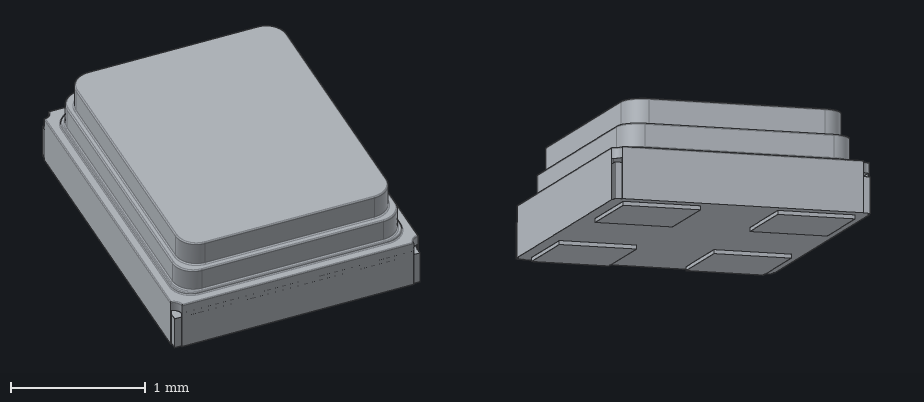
import cadquery as cq

LENGTH = 2.5
WIDTH = 2.0
HEIGHT = 0.83

PAD_HEIGHT = 0.03
PAD_LENGTH = 0.7
PAD_WIDTH = 0.6
PAD_MARGIN = 0.1

BASE_HEIGHT = 0.395
SKIN = 0.01
ROOF = 0.082
GAP = 0.038
NOTCH_RADIUS = 0.065

RING_LENGTH = 2.355
RING_WIDTH = 1.855
RING_HEIGHT = 0.018
LOWER_LENGTH = 2.31
LOWER_WIDTH = 1.8
UPPER_LENGTH = 2.2
UPPER_WIDTH = 1.7
UPPER_HEIGHT = 0.2
TIER_CORNER = 0.168

BASE_ROUND = 0.008
LID_ROUND = 0.01

base_top = PAD_HEIGHT + BASE_HEIGHT
ring_top = base_top + RING_HEIGHT
lower_top = HEIGHT - UPPER_HEIGHT
gap_top = base_top - ROOF
gap_bottom = gap_top - GAP


def block(length, width, bottom, top):
    """Box centred on the Z axis between two heights."""
    return (
        cq.Workplane("XY")
        .workplane(offset=bottom)
        .rect(length, width)
        .extrude(top - bottom)
    )


def at_corners(length, width, bottom):
    """Points at the four corners of a centred rectangle."""
    return (
        cq.Workplane("XY")
        .workplane(offset=bottom)
        .rect(length, width, forConstruction=True)
        .vertices()
    )


def make_base():
    """Shell with notched corners; the square filler shows as a post in each notch."""
    notches = at_corners(LENGTH, WIDTH, PAD_HEIGHT).circle(NOTCH_RADIUS).extrude(BASE_HEIGHT)
    shell = block(LENGTH, WIDTH, PAD_HEIGHT, base_top).cut(notches)
    shell = shell.faces(">Z").edges().fillet(BASE_ROUND)

    inner_length = LENGTH - 2 * SKIN
    inner_width = WIDTH - 2 * SKIN
    cavity = block(inner_length, inner_width, PAD_HEIGHT, gap_top)
    filler = block(inner_length, inner_width, PAD_HEIGHT, gap_bottom)
    return shell.cut(cavity).union(filler)


def add_tier(body, length, width, bottom, top, edge_round):
    """Stack a round-cornered tier with a rounded top edge and a fillet around its foot."""
    tier = block(length, width, bottom, top).edges("|Z").fillet(TIER_CORNER)
    tier = tier.faces(">Z").edges().fillet(edge_round)
    foot_edge = cq.NearestToPointSelector((0, -width / 2, bottom))
    return body.union(tier).edges(foot_edge).fillet(edge_round)


def make_pads():
    """Four flat contact pads."""
    spacing_x = LENGTH - 2 * PAD_MARGIN - PAD_LENGTH
    spacing_y = WIDTH - 2 * PAD_MARGIN - PAD_WIDTH
    return at_corners(spacing_x, spacing_y, 0).rect(PAD_LENGTH, PAD_WIDTH).extrude(PAD_HEIGHT)


body = make_base()
body = add_tier(body, RING_LENGTH, RING_WIDTH, base_top, ring_top, BASE_ROUND)
body = add_tier(body, LOWER_LENGTH, LOWER_WIDTH, ring_top, lower_top, LID_ROUND)
body = add_tier(body, UPPER_LENGTH, UPPER_WIDTH, lower_top, HEIGHT, LID_ROUND)
result = body.union(make_pads())